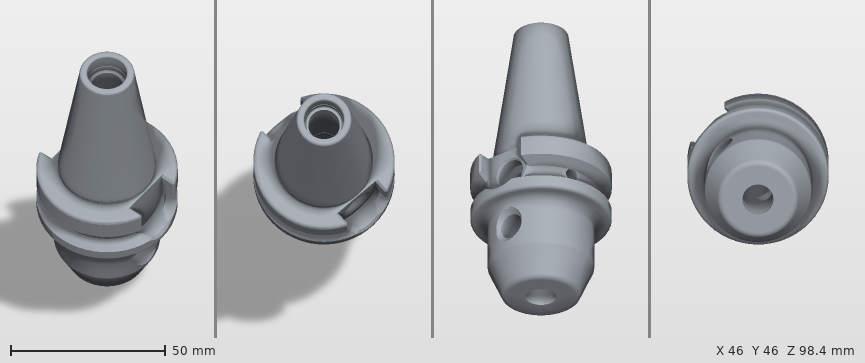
import cadquery as cq
import math

TOTAL_HEIGHT = 98.4

NOSE_RADIUS = 17.3
NOSE_TIP_RADIUS = 12.5
NOSE_CONE_HEIGHT = 10.8
NOSE_ROUND = 2.0

FLANGE_RADIUS = 46.0 / 2
FLANGE_BOTTOM = 28.0
FLANGE_TOP = 47.9
FLANGE_ROUND = 1.2
FLANGE_UNDER_FILLET = 2.9
GROOVE_RADIUS = 19.2
GROOVE_CENTER_Z = 36.4
GROOVE_FLOOR_WIDTH = 3.7
GROOVE_FLANK_ANGLE = 30.0

RELIEF_RADIUS = 31.5 / 2
RELIEF_FILLET = 0.5
GAUGE_RADIUS = 15.89
GAUGE_Z = 50.0
TAPER_EDGE_CHAMFER = 0.3
TAPER_SLOPE = 7 / 24 / 2
TAPER_TOP_ROUND = 0.9

TOOL_BORE_DIAMETER = 10.0
STUD_THREAD_DIAMETER = 10.2
STUD_THREAD_BOTTOM = 64.0
STUD_PILOT_DIAMETER = 12.5
STUD_PILOT_DEPTH = 6.9
STUD_ENTRY_DIAMETER = 12.9
STUD_ENTRY_DEPTH = 5.0
STUD_ENTRY_ROUND = 0.6

SLOT_FLOOR_X = 16.1
SLOT_HALF_WIDTH = 8.1
SLOT_CENTER_Z = 39.3
SLOT_EDGE_CHAMFER = 0.8
TOLERANCE = 0.01

SLOT_HOLE_DIAMETER = 9.8
SLOT_HOLE_RIM_DIAMETER = 11.0
SLOT_HOLE_DEPTH = 4.6
COOLANT_DIAMETER = 3.6

SCREW_Z = 19.7
SCREW_DIAMETER = 8.5
SCREW_SINK_DIAMETER = 12.3
BALANCE_Z = 18.2
BALANCE_DIAMETER = 12.9
BALANCE_DEPTH = 4.9

INDEX_DIAMETER = 4.2
INDEX_DEPTH = 11.8
INDEX_ANGLE = 250.5


def make_body():
    """Revolve the outer half-profile of nose, flange and taper."""
    nose_angle = math.atan2(NOSE_RADIUS - NOSE_TIP_RADIUS, NOSE_CONE_HEIGHT)
    tip_tangent = NOSE_ROUND * math.tan((math.pi / 2 - nose_angle) / 2)
    shoulder_tangent = NOSE_ROUND * math.tan(nose_angle / 2)

    groove_depth = FLANGE_RADIUS - GROOVE_RADIUS
    flank_height = groove_depth * math.tan(math.radians(GROOVE_FLANK_ANGLE))
    groove_low = GROOVE_CENTER_Z - GROOVE_FLOOR_WIDTH / 2
    groove_high = GROOVE_CENTER_Z + GROOVE_FLOOR_WIDTH / 2

    taper_angle = math.atan(TAPER_SLOPE)
    taper_end_radius = GAUGE_RADIUS - (TOTAL_HEIGHT - GAUGE_Z) * TAPER_SLOPE
    top_tangent = TAPER_TOP_ROUND * math.tan((math.pi / 2 - taper_angle) / 2)

    profile = (
        cq.Workplane("XZ")
        .moveTo(0, 0)
        .lineTo(NOSE_TIP_RADIUS - tip_tangent, 0)
        .tangentArcPoint(
            (NOSE_TIP_RADIUS + tip_tangent * math.sin(nose_angle), tip_tangent * math.cos(nose_angle)),
            relative=False,
        )
        .lineTo(
            NOSE_RADIUS - shoulder_tangent * math.sin(nose_angle),
            NOSE_CONE_HEIGHT - shoulder_tangent * math.cos(nose_angle),
        )
        .tangentArcPoint((NOSE_RADIUS, NOSE_CONE_HEIGHT + shoulder_tangent), relative=False)
        .lineTo(NOSE_RADIUS, FLANGE_BOTTOM - FLANGE_UNDER_FILLET)
        .tangentArcPoint((FLANGE_UNDER_FILLET, FLANGE_UNDER_FILLET))
        .lineTo(FLANGE_RADIUS - FLANGE_ROUND, FLANGE_BOTTOM)
        .tangentArcPoint((FLANGE_ROUND, FLANGE_ROUND))
        .lineTo(FLANGE_RADIUS, groove_low - flank_height)
        .lineTo(GROOVE_RADIUS, groove_low)
        .lineTo(GROOVE_RADIUS, groove_high)
        .lineTo(FLANGE_RADIUS, groove_high + flank_height)
        .lineTo(FLANGE_RADIUS, FLANGE_TOP - FLANGE_ROUND)
        .tangentArcPoint((-FLANGE_ROUND, FLANGE_ROUND))
        .lineTo(RELIEF_RADIUS + RELIEF_FILLET, FLANGE_TOP)
        .tangentArcPoint((-RELIEF_FILLET, RELIEF_FILLET))
        .lineTo(RELIEF_RADIUS, GAUGE_Z - TAPER_EDGE_CHAMFER)
        .lineTo(GAUGE_RADIUS, GAUGE_Z)
        .lineTo(
            taper_end_radius + top_tangent * math.sin(taper_angle),
            TOTAL_HEIGHT - top_tangent * math.cos(taper_angle),
        )
        .tangentArcPoint((taper_end_radius - top_tangent, TOTAL_HEIGHT), relative=False)
        .lineTo(0, TOTAL_HEIGHT)
        .close()
    )
    return profile.revolve(360, (0, 0, 0), (0, 1, 0))


def cylinder(diameter, start, direction, length):
    """Solid cylinder from a start point along a direction."""
    return cq.Workplane(cq.Solid.makeCylinder(diameter / 2, length, cq.Vector(*start), cq.Vector(*direction)))


def cone(start_diameter, end_diameter, start, direction, length):
    """Solid cone frustum from a start point along a direction."""
    return cq.Workplane(
        cq.Solid.makeCone(
            start_diameter / 2, end_diameter / 2, length, cq.Vector(*start), cq.Vector(*direction)
        )
    )


def cut_axial_bores(body):
    """Through tool bore, stud thread bore and stepped stud pilot with a rounded mouth."""
    up = (0, 0, 1)
    down = (0, 0, -1)
    top = (0, 0, TOTAL_HEIGHT)
    body = body.cut(cylinder(TOOL_BORE_DIAMETER, (0, 0, 0), up, TOTAL_HEIGHT))
    body = body.cut(cylinder(STUD_THREAD_DIAMETER, top, down, TOTAL_HEIGHT - STUD_THREAD_BOTTOM))
    body = body.cut(cylinder(STUD_PILOT_DIAMETER, top, down, STUD_PILOT_DEPTH))
    body = body.cut(cylinder(STUD_ENTRY_DIAMETER, top, down, STUD_ENTRY_DEPTH))
    mouth = cq.selectors.RadiusNthSelector(0)
    return body.faces(">Z").edges(mouth).fillet(STUD_ENTRY_ROUND)


def cut_drive_slot(body, side):
    """Round-bottomed slot into the flange side; side is -1 or +1."""
    slot = (
        cq.Workplane("YZ", origin=(side * SLOT_FLOOR_X, 0, SLOT_CENTER_Z))
        .moveTo(-SLOT_HALF_WIDTH, 0)
        .threePointArc((0, -SLOT_HALF_WIDTH), (SLOT_HALF_WIDTH, 0))
        .lineTo(SLOT_HALF_WIDTH, FLANGE_TOP)
        .lineTo(-SLOT_HALF_WIDTH, FLANGE_TOP)
        .close()
        .extrude(side * FLANGE_RADIUS)
    )
    return body.cut(slot)


def cut_slot_hole(body):
    """Chamfered blind hole in the -X slot floor with a coolant hole on into the axial bore."""
    start = (-SLOT_FLOOR_X, 0, SLOT_CENTER_Z)
    inward = (1, 0, 0)
    chamfer = (SLOT_HOLE_RIM_DIAMETER - SLOT_HOLE_DIAMETER) / 2
    body = body.cut(cylinder(SLOT_HOLE_DIAMETER, start, inward, SLOT_HOLE_DEPTH))
    body = body.cut(cone(SLOT_HOLE_RIM_DIAMETER, SLOT_HOLE_DIAMETER, start, inward, chamfer))
    return body.cut(cylinder(COOLANT_DIAMETER, start, inward, SLOT_FLOOR_X))


def cut_screw_hole(body):
    """Countersunk clamping screw hole from -X into the tool bore."""
    start = (-NOSE_RADIUS, 0, SCREW_Z)
    inward = (1, 0, 0)
    body = body.cut(cylinder(SCREW_DIAMETER, start, inward, NOSE_RADIUS))
    sink_depth = (SCREW_SINK_DIAMETER - SCREW_DIAMETER) / 2
    return body.cut(cone(SCREW_SINK_DIAMETER, SCREW_DIAMETER, start, inward, sink_depth))


def cut_balance_hole(body):
    """Shallow flat-bottomed balancing hole on +X."""
    return body.cut(cylinder(BALANCE_DIAMETER, (NOSE_RADIUS, 0, BALANCE_Z), (-1, 0, 0), BALANCE_DEPTH))


def cut_index_hole(body):
    """Radial blind hole in the groove floor."""
    across = math.cos(math.radians(INDEX_ANGLE))
    along = math.sin(math.radians(INDEX_ANGLE))
    start = (GROOVE_RADIUS * across, GROOVE_RADIUS * along, GROOVE_CENTER_Z)
    return body.cut(cylinder(INDEX_DIAMETER, start, (-across, -along, 0), INDEX_DEPTH))


def slot_wall_distance(point):
    """Distance of a point from the slot wall: straight walls above the centre, round below."""
    below_center = min(point.z - SLOT_CENTER_Z, 0)
    return abs(math.hypot(point.y, below_center) - SLOT_HALF_WIDTH)


def is_slot_rim(edge):
    """True for edges where a slot wall meets the flange outside, leaving out the groove floor."""
    start, middle, end = (edge.positionAt(place) for place in (0, 0.5, 1))
    on_wall = all(slot_wall_distance(point) < TOLERANCE for point in (start, middle, end))
    on_slot_floor = abs(abs(middle.x) - SLOT_FLOOR_X) < TOLERANCE
    on_groove_floor = abs(math.hypot(middle.x, middle.y) - GROOVE_RADIUS) < TOLERANCE
    wall_seam = abs(start.z - SLOT_CENTER_Z) + abs(end.z - SLOT_CENTER_Z) < TOLERANCE
    return on_wall and not (on_slot_floor or on_groove_floor or wall_seam)


def chamfer_slot_rims(body):
    """Break the outer edges of both drive slots."""
    rims = [edge for edge in body.edges().vals() if is_slot_rim(edge)]
    return body.newObject(rims).chamfer(SLOT_EDGE_CHAMFER)


result = make_body()
for side in (-1, 1):
    result = cut_drive_slot(result, side)
result = chamfer_slot_rims(result)
result = cut_slot_hole(result)
result = cut_axial_bores(result)
result = cut_screw_hole(result)
result = cut_balance_hole(result)
result = cut_index_hole(result)